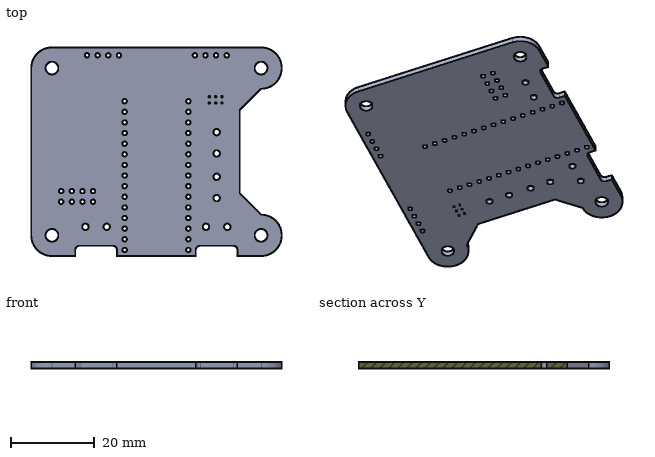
import cadquery as cq
import math

length = 60.0
width = 50.0
thickness = 1.6
corner_radius = 5.0

recess_edge_x = 50.0
lug_x = length - corner_radius
lug_inner_y = 2 * corner_radius
lug_slope_run = lug_x - recess_edge_x

notch_width = 9.95
notch_depth = 2.45
notch_radius = 1.0
notch_centers = (15.55, 44.4)

mount_diameter = 3.0
terminal_diameter = 1.5
pin_diameter = 1.0
via_diameter = 0.33

terminal_pitch = 5.1
front_terminal_y = 7.0
side_terminal_x = 44.4
side_terminal_centers_y = (16.45, 27.1)

column_xs = (22.4, 37.6)
column_pins = 15
column_start_y = 1.5
column_span = 35.6
pin_pitch = column_span / (column_pins - 1)

top_row_starts = (13.4, 39.2)
top_row_y = 48.05
row_pins = 4
header_start = (7.2, 13.0)
header_rows = 2

via_start = (42.65, 36.65)
via_pitch = 1.5
via_columns = 3
via_rows = 2


def grid(start, pitch, columns, rows):
    """Points of a rectangular grid growing in +X and +Y from start."""
    return [
        (start[0] + i * pitch, start[1] + j * pitch)
        for i in range(columns)
        for j in range(rows)
    ]


def make_board():
    """Plate with round corners and two lugs on the right side."""
    r = corner_radius
    diagonal = r * math.sqrt(0.5)
    return (
        cq.Workplane("XY")
        .moveTo(r, 0)
        .lineTo(lug_x, 0)
        .threePointArc((length, r), (lug_x, lug_inner_y))
        .lineTo(recess_edge_x, lug_inner_y + lug_slope_run)
        .lineTo(recess_edge_x, width - lug_inner_y - lug_slope_run)
        .lineTo(lug_x, width - lug_inner_y)
        .threePointArc((length, width - r), (lug_x, width))
        .lineTo(r, width)
        .threePointArc((r - diagonal, width - r + diagonal), (0, width - r))
        .lineTo(0, r)
        .threePointArc((r - diagonal, r - diagonal), (r, 0))
        .close()
        .extrude(thickness)
    )


def make_notch(center_x):
    """Cutter for a front notch; it overhangs the edge by its own depth."""
    return (
        cq.Workplane("XY")
        .center(center_x, 0)
        .rect(notch_width, 2 * notch_depth)
        .extrude(thickness)
        .edges("|Z and >Y")
        .fillet(notch_radius)
    )


def drill(body, points, diameter):
    """Cut through holes at the given points."""
    holes = cq.Workplane("XY").pushPoints(points).circle(diameter / 2).extrude(thickness)
    return body.cut(holes)


mount_points = [
    (x, y)
    for x in (corner_radius, lug_x)
    for y in (corner_radius, width - corner_radius)
]

terminal_points = []
for offset in (-terminal_pitch / 2, terminal_pitch / 2):
    terminal_points += [(x + offset, front_terminal_y) for x in notch_centers]
    terminal_points += [(side_terminal_x, y + offset) for y in side_terminal_centers_y]

pin_points = grid(header_start, pin_pitch, row_pins, header_rows)
for column_x in column_xs:
    pin_points += grid((column_x, column_start_y), pin_pitch, 1, column_pins)
for row_x in top_row_starts:
    pin_points += grid((row_x, top_row_y), pin_pitch, row_pins, 1)

via_points = grid(via_start, via_pitch, via_columns, via_rows)

result = make_board()
for notch_x in notch_centers:
    result = result.cut(make_notch(notch_x))
result = drill(result, mount_points, mount_diameter)
result = drill(result, terminal_points, terminal_diameter)
result = drill(result, pin_points, pin_diameter)
result = drill(result, via_points, via_diameter)